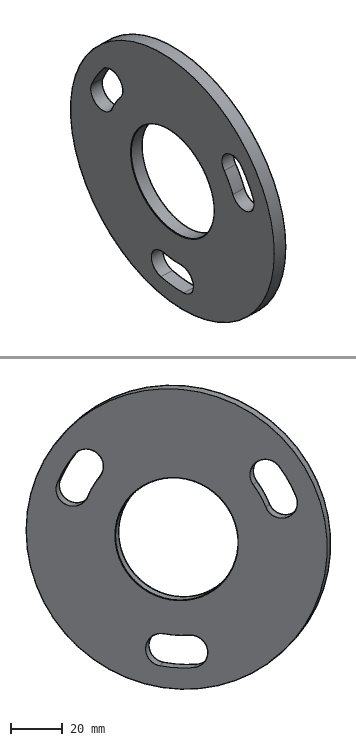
import cadquery as cq
import math

disc_diameter = 120.0
thickness = 6.0
bore_diameter = 48.7
bore_chamfer = 0.2
slot_circle_radius = 45.0
slot_width = 13.0
slot_half_angle = 7.5
slot_directions = (-90, 30, 150)


def polar_point(radius, angle):
    """Point on the disc face at a radius and an angle in degrees."""
    return (
        radius * math.cos(math.radians(angle)),
        radius * math.sin(math.radians(angle)),
    )


def make_disc():
    """Flat disc centred on the origin, with its axis along Y."""
    return (
        cq.Workplane("XZ", origin=(0, thickness / 2, 0))
        .circle(disc_diameter / 2)
        .extrude(thickness)
    )


def make_bore():
    """Cutter for the central bore, flared by a chamfer at each face."""
    bore_radius = bore_diameter / 2
    mouth_radius = bore_radius + bore_chamfer
    front = -thickness / 2
    back = thickness / 2
    return (
        cq.Workplane("XY")
        .moveTo(0, front)
        .lineTo(mouth_radius, front)
        .lineTo(bore_radius, front + bore_chamfer)
        .lineTo(bore_radius, back - bore_chamfer)
        .lineTo(mouth_radius, back)
        .lineTo(0, back)
        .close()
        .revolve(360, (0, 0, 0), (0, 1, 0))
    )


def make_slot(direction):
    """Cutter for a curved slot with round ends that follows the slot circle."""
    inner_radius = slot_circle_radius - slot_width / 2
    outer_radius = slot_circle_radius + slot_width / 2
    start = direction - slot_half_angle
    end = direction + slot_half_angle

    def cap_tip(end_angle, sign):
        """Outermost point of a round end, on the tangent through its centre."""
        x, z = polar_point(slot_circle_radius, end_angle)
        dx, dz = polar_point(slot_width / 2, end_angle + sign * 90)
        return (x + dx, z + dz)

    return (
        cq.Workplane("XZ", origin=(0, thickness / 2, 0))
        .moveTo(*polar_point(outer_radius, start))
        .threePointArc(polar_point(outer_radius, direction), polar_point(outer_radius, end))
        .threePointArc(cap_tip(end, 1), polar_point(inner_radius, end))
        .threePointArc(polar_point(inner_radius, direction), polar_point(inner_radius, start))
        .threePointArc(cap_tip(start, -1), polar_point(outer_radius, start))
        .close()
        .extrude(thickness)
    )


result = make_disc().cut(make_bore())
for slot_direction in slot_directions:
    result = result.cut(make_slot(slot_direction))